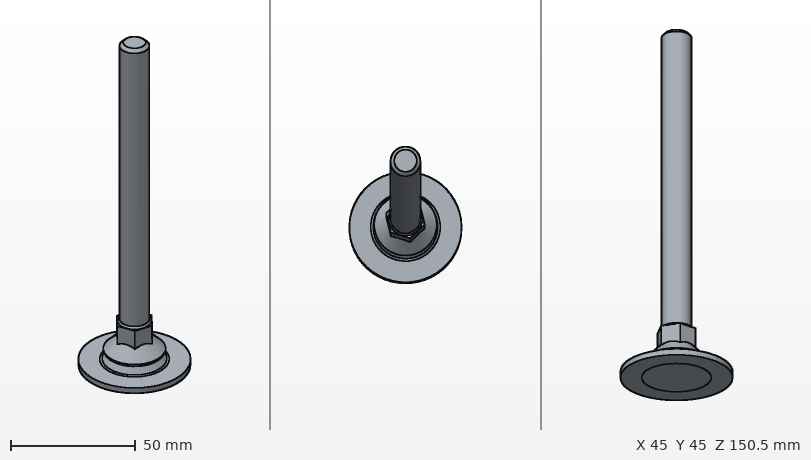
import cadquery as cq
import math

total_height = 150.5

plate_diameter = 45.0
plate_thickness = 2.5

flange_diameter = 27.8
flare_height = 0.3
foot_base_diameter = 25.9
neck_diameter = 21.8
neck_height = 5.7

bell_diameter = 25.0
bell_rim_height = 7.5
bell_slope = 45.0
underside_bulge_diameter = 24.4
underside_bulge_height = 6.6
hex_across_flats = 14.0
hex_top_height = 20.5
collar_base_diameter = 13.5
collar_height = 0.9

rod_diameter = 12.0
rod_chamfer = 1.5

hex_across_corners = hex_across_flats / math.cos(math.radians(30))
rod_bottom_height = hex_top_height + collar_height


def turned_cone(bottom_diameter, top_diameter, bottom_height, top_height):
    """Solid cone frustum on the Z axis between two heights."""
    profile = [
        (0, bottom_height),
        (bottom_diameter / 2, bottom_height),
        (top_diameter / 2, top_height),
        (0, top_height),
    ]
    return cq.Workplane("XZ").polyline(profile).close().revolve(360, (0, 0), (0, 1))


def make_plate():
    """Flat disc with a through hole for the foot flange."""
    return (
        cq.Workplane("XY")
        .circle(plate_diameter / 2)
        .circle(flange_diameter / 2)
        .extrude(plate_thickness)
    )


def make_foot():
    """Flange flush with the plate, flaring into a cone that rises to the neck."""
    cone_base_height = plate_thickness + flare_height
    flange = cq.Workplane("XY").circle(flange_diameter / 2).extrude(plate_thickness)
    flare = turned_cone(flange_diameter, foot_base_diameter, plate_thickness, cone_base_height)
    cone = turned_cone(foot_base_diameter, neck_diameter, cone_base_height, neck_height)
    return flange.union(flare).union(cone)


def make_bell():
    """Turned bell: rounded underside from the neck to the rim, then a straight cone."""
    top_diameter = bell_diameter / 2
    rise = (bell_diameter - top_diameter) / 2 * math.tan(math.radians(bell_slope))
    top_height = bell_rim_height + rise
    return (
        cq.Workplane("XZ")
        .moveTo(0, neck_height)
        .lineTo(neck_diameter / 2, neck_height)
        .threePointArc(
            (underside_bulge_diameter / 2, underside_bulge_height),
            (bell_diameter / 2, bell_rim_height),
        )
        .lineTo(top_diameter / 2, top_height)
        .lineTo(0, top_height)
        .close()
        .revolve(360, (0, 0), (0, 1))
    )


def make_hex_socket():
    """Bell standing on the neck, a hexagon rising out of it and a collar under the rod."""
    hexagon = (
        cq.Workplane("XY", origin=(0, 0, bell_rim_height))
        .polygon(6, hex_across_corners)
        .extrude(hex_top_height - bell_rim_height)
    )
    collar = turned_cone(collar_base_diameter, rod_diameter, hex_top_height, rod_bottom_height)
    return make_bell().union(hexagon).union(collar)


def make_rod():
    """Round rod standing on the collar, chamfered at its top end."""
    return (
        cq.Workplane("XY", origin=(0, 0, rod_bottom_height))
        .circle(rod_diameter / 2)
        .extrude(total_height - rod_bottom_height)
        .faces(">Z")
        .chamfer(rod_chamfer)
    )


plate = make_plate()
foot = make_foot()
hex_socket = make_hex_socket()
rod = make_rod()

result = cq.Compound.makeCompound([plate.val(), foot.val(), hex_socket.val(), rod.val()])